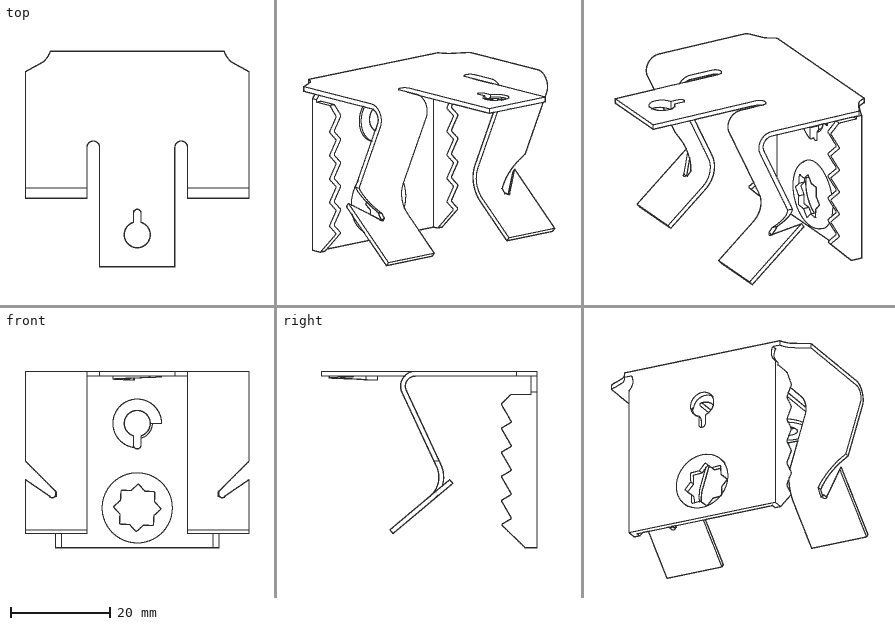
import cadquery as cq
import math


TOTAL_WIDTH = 45.0
TOTAL_DEPTH = 43.42
TOTAL_HEIGHT = 35.54
PLATE_THICKNESS = 1.0
WALL_THICKNESS = 1.25

TONGUE_WIDTH = 15.2
RELIEF_SLOT_WIDTH = 2.5
RELIEF_SLOT_END_Y = -18.1
FOLD_WIDTH = 35.0
CORNER_SIDE_Y = -4.1
CORNER_KINK = (18.95, -2.15)
CORNER_BULGE = 0.12

WALL_WIDTH = 33.0
FLANGE_TOP_Z = -4.66
NECK_DEEPEST = (15.6, -2.6)
NECK_END_Z = -4.15
TOOTH_COUNT = 6
TOOTH_PITCH = 4.85
TOOTH_TIP_Y = -7.25
FIRST_TIP_Z = -6.6
TOOTH_SLOPE = 30.0
TOOTH_ROUNDING = 0.25
FLANGE_TOP_CORNER_Y = -5.3
FLANGE_FOOT_Y = -2.4

BEND_START_Y = -24.5
UPPER_BEND_RADIUS = 2.0
LOWER_BEND_RADIUS = 5.0
LEG_LEAN = 25.0
LEG_LENGTH = 16.48
FOOT_SLOPE = 40.0
FOOT_LENGTH = 10.55
BARB_LENGTH = 5.2
NOTCH_TOP_Z = -18.1
NOTCH_CORNER = (16.3, -24.3)
SLIT_INNER_X = 16.6
SLIT_OUTER_X = 17.6
SLIT_DEPTH = 0.45

HOLE_RADIUS = 2.6
KEY_SLOT_WIDTH = 1.5
KEY_SLOT_REACH = 5.1
PLATE_HOLE_Y = -36.95
WALL_HOLE_Z = -10.5
RAMP_RADIUS = 4.9
RAMP_OVERLAP = 0.3
RAMP_HEIGHT = 0.8
RAMP_END_HEIGHT = 0.1
RAMP_SWEEP = 270.0
RIM_CHAMFER = 0.45

BOSS_Z = -27.5
BOSS_RADIUS = 7.07
BOSS_HEIGHT = 1.8
BOSS_ROUNDING = 1.79
STAR_RADIUS = 4.8
STAR_TILT = 2.5
STAR_ROUNDING = 0.2

HALF_WIDTH = TOTAL_WIDTH / 2
HALF_FOLD = FOLD_WIDTH / 2
HALF_WALL = WALL_WIDTH / 2
ARM_INNER_X = TONGUE_WIDTH / 2 + RELIEF_SLOT_WIDTH


def mirrored_pair(shape):
    return shape.union(shape.mirror("YZ"))


def corner_relief():
    """Cutter for one back corner of the plate: a straight flank and a short hollow."""
    kink_x, kink_y = CORNER_KINK
    chord_mid = ((kink_x + HALF_FOLD) / 2 - CORNER_BULGE, kink_y / 2 - CORNER_BULGE)
    return (
        cq.Workplane("XY", origin=(0, 0, -PLATE_THICKNESS))
        .moveTo(HALF_WIDTH, CORNER_SIDE_Y)
        .lineTo(kink_x, kink_y)
        .threePointArc(chord_mid, (HALF_FOLD, 0))
        .lineTo(HALF_WIDTH, 0)
        .close()
        .extrude(PLATE_THICKNESS)
    )


def top_plate():
    plate = cq.Workplane("XY").box(
        TOTAL_WIDTH, -BEND_START_Y, PLATE_THICKNESS, centered=(True, False, False)
    ).translate((0, BEND_START_Y, -PLATE_THICKNESS))
    tongue = cq.Workplane("XY").box(
        TONGUE_WIDTH, TOTAL_DEPTH, PLATE_THICKNESS, centered=(True, False, False)
    ).translate((0, -TOTAL_DEPTH, -PLATE_THICKNESS))
    slot_radius = RELIEF_SLOT_WIDTH / 2
    slot_length = 2 * (RELIEF_SLOT_END_Y - BEND_START_Y)
    slot = (
        cq.Workplane("XY")
        .center(TONGUE_WIDTH / 2 + slot_radius, BEND_START_Y)
        .slot2D(slot_length, RELIEF_SLOT_WIDTH, 90)
        .extrude(-PLATE_THICKNESS)
    )
    return plate.union(tongue).cut(mirrored_pair(slot)).cut(mirrored_pair(corner_relief()))


def back_wall():
    neck_x, neck_z = NECK_DEEPEST
    half_wall = (
        cq.Workplane("XZ")
        .moveTo(0, 0)
        .lineTo(HALF_FOLD, 0)
        .threePointArc((neck_x, neck_z), (HALF_WALL, NECK_END_Z))
        .lineTo(HALF_WALL, -TOTAL_HEIGHT)
        .lineTo(0, -TOTAL_HEIGHT)
        .close()
        .extrude(WALL_THICKNESS)
    )
    return mirrored_pair(half_wall)


def toothed_flange():
    """Side flange whose front edge is a row of right-angled teeth pointing upwards."""
    slope = math.radians(TOOTH_SLOPE)
    tooth_depth = TOOTH_PITCH / (math.tan(slope) + 1 / math.tan(slope))
    valley_y = TOOTH_TIP_Y + tooth_depth
    outline = [(0, FLANGE_TOP_Z), (FLANGE_TOP_CORNER_Y, FLANGE_TOP_Z)]
    for i in range(TOOTH_COUNT):
        tip_z = FIRST_TIP_Z - i * TOOTH_PITCH
        if i > 0:
            outline.append((valley_y, tip_z + tooth_depth * math.tan(slope)))
        outline.append((TOOTH_TIP_Y, tip_z))
    outline += [(FLANGE_FOOT_Y, -TOTAL_HEIGHT), (0, -TOTAL_HEIGHT)]
    flange = (
        cq.Workplane("YZ", origin=(HALF_WALL - WALL_THICKNESS, 0, 0))
        .polyline(outline)
        .close()
        .extrude(WALL_THICKNESS)
    )
    tooth_zone = cq.selectors.BoxSelector(
        (0, TOOTH_TIP_Y - TOOTH_ROUNDING, FIRST_TIP_Z - TOOTH_COUNT * TOOTH_PITCH),
        (HALF_WIDTH, valley_y + TOOTH_ROUNDING, FIRST_TIP_Z + TOOTH_ROUNDING),
    )
    return flange.edges("|X").edges(tooth_zone).fillet(TOOTH_ROUNDING)


def polar(center, radius, degrees):
    angle = math.radians(degrees)
    return (center[0] + radius * math.cos(angle), center[1] + radius * math.sin(angle))


def spring_arm():
    """One arm: rolled down from the plate, leaning back, then bent forward into a foot."""
    upper_outer = UPPER_BEND_RADIUS + PLATE_THICKNESS
    lower_outer = LOWER_BEND_RADIUS + PLATE_THICKNESS
    leg_normal = 180 + LEG_LEAN
    upper_mid = (90 + leg_normal) / 2
    upper_center = (BEND_START_Y, -upper_outer)
    leg_top = polar(upper_center, upper_outer, leg_normal)
    leg_bottom = polar(leg_top, LEG_LENGTH, leg_normal + 90)
    lower_center = polar(leg_bottom, LOWER_BEND_RADIUS, leg_normal)
    lower_start = LEG_LEAN
    lower_end = FOOT_SLOPE - 90
    lower_mid = (lower_start + lower_end) / 2
    foot_back = polar(lower_center, lower_outer, lower_end)

    bent = (
        cq.Workplane("YZ", origin=(ARM_INNER_X, 0, 0))
        .moveTo(BEND_START_Y, 0)
        .threePointArc(polar(upper_center, upper_outer, upper_mid), leg_top)
        .lineTo(*leg_bottom)
        .threePointArc(
            polar(lower_center, LOWER_BEND_RADIUS, lower_mid),
            polar(lower_center, LOWER_BEND_RADIUS, lower_end),
        )
        .lineTo(*foot_back)
        .threePointArc(
            polar(lower_center, lower_outer, lower_mid),
            polar(lower_center, lower_outer, lower_start),
        )
        .lineTo(*polar(upper_center, UPPER_BEND_RADIUS, leg_normal))
        .threePointArc(
            polar(upper_center, UPPER_BEND_RADIUS, upper_mid), (BEND_START_Y, -PLATE_THICKNESS)
        )
        .close()
        .extrude(HALF_WIDTH - ARM_INNER_X)
    )
    corner_x, corner_z = NOTCH_CORNER
    notch = (
        cq.Workplane("XZ")
        .polyline(
            [
                (HALF_WIDTH, NOTCH_TOP_Z),
                (corner_x, corner_z),
                (corner_x, -TOTAL_HEIGHT),
                (HALF_WIDTH, -TOTAL_HEIGHT),
            ]
        )
        .close()
        .extrude(TOTAL_DEPTH)
    )

    slope = math.radians(FOOT_SLOPE)
    foot_plane = cq.Plane(
        origin=(0, *foot_back), xDir=(1, 0, 0), normal=(0, -math.sin(slope), math.cos(slope))
    )
    slit_mid_x = (SLIT_INNER_X + SLIT_OUTER_X) / 2
    foot = (
        cq.Workplane(foot_plane)
        .moveTo(ARM_INNER_X, 0)
        .lineTo(ARM_INNER_X, -FOOT_LENGTH)
        .lineTo(HALF_WIDTH, -FOOT_LENGTH)
        .lineTo(HALF_WIDTH, BARB_LENGTH)
        .lineTo(SLIT_OUTER_X, 0)
        .threePointArc((slit_mid_x, -SLIT_DEPTH), (SLIT_INNER_X, 0))
        .close()
        .extrude(PLATE_THICKNESS)
    )
    return bent.cut(notch).union(foot)


def thread_ramp(plane):
    """Ramp of steadily falling height around a hole, tallest beside the key slot at local -Y.

    It sinks into the sheet and reaches into the hole by the overlap, so that it joins cleanly.
    """
    drop = RAMP_HEIGHT - RAMP_END_HEIGHT
    pitch = drop * 360 / RAMP_SWEEP
    inner_radius = HOLE_RADIUS - RAMP_OVERLAP

    def helix(radius):
        rising = cq.Wire.makeHelix(pitch, drop, radius)
        return rising.translate(cq.Vector(0, 0, RAMP_END_HEIGHT)).Edges()[0]

    def arc(radius):
        base = cq.Vector(0, 0, -RAMP_OVERLAP)
        return cq.Edge.makeCircle(radius, pnt=base, angle1=0, angle2=RAMP_SWEEP)

    def end_wall(degrees, height):
        inner = polar((0, 0), inner_radius, degrees)
        outer = polar((0, 0), RAMP_RADIUS, degrees)
        corners = [
            (*inner, -RAMP_OVERLAP),
            (*outer, -RAMP_OVERLAP),
            (*outer, height),
            (*inner, height),
        ]
        return cq.Face.makeFromWires(cq.Wire.makePolygon([cq.Vector(*c) for c in corners], close=True))

    faces = [
        cq.Face.makeRuledSurface(helix(inner_radius), helix(RAMP_RADIUS)),
        cq.Face.makeRuledSurface(arc(inner_radius), arc(RAMP_RADIUS)),
        cq.Face.makeRuledSurface(arc(inner_radius), helix(inner_radius)),
        cq.Face.makeRuledSurface(arc(RAMP_RADIUS), helix(RAMP_RADIUS)),
        end_wall(0, RAMP_END_HEIGHT),
        end_wall(RAMP_SWEEP, RAMP_HEIGHT),
    ]
    ramp = cq.Solid.makeSolid(cq.Shell.makeShell(faces)).fix()
    return cq.Workplane(ramp.moved(cq.Location(plane)))


def keyhole(plane, thickness):
    """Round hole with a radial slot towards local -Y, cut from below the sheet to above the ramp."""
    radius = KEY_SLOT_WIDTH / 2
    depth = thickness + RAMP_HEIGHT
    base = cq.Workplane(plane).workplane(offset=-thickness)
    hole = base.circle(HOLE_RADIUS).extrude(depth)
    slot = base.center(0, -KEY_SLOT_REACH / 2).slot2D(KEY_SLOT_REACH, 2 * radius, 90).extrude(depth)
    return hole.union(slot)


def rim_chamfer(plane):
    """Quarter of a conical rim, filling the gap that the ramp leaves around the hole."""
    cone = cq.Solid.makeCone(
        HOLE_RADIUS, HOLE_RADIUS + RIM_CHAMFER, RIM_CHAMFER, pnt=cq.Vector(0, 0, -RIM_CHAMFER),
        angleDegrees=360 - RAMP_SWEEP,
    ).rotate(cq.Vector(0, 0, 0), cq.Vector(0, 0, 1), RAMP_SWEEP)
    return cq.Workplane(cone.moved(cq.Location(plane)))


def add_screw_hole(body, plane, thickness):
    body = body.union(thread_ramp(plane))
    return body.cut(keyhole(plane, thickness)).cut(rim_chamfer(plane))


def add_star_boss(body):
    """Round boss pressed out of the wall, hollow behind, pierced by two crossed squares."""
    face = cq.Workplane("XZ", origin=(0, -WALL_THICKNESS, BOSS_Z))
    boss = face.circle(BOSS_RADIUS).extrude(BOSS_HEIGHT).faces("<Y").edges().fillet(BOSS_ROUNDING)
    hollow = (
        cq.Workplane("XZ", origin=(0, 0, BOSS_Z))
        .circle(BOSS_RADIUS - WALL_THICKNESS)
        .extrude(BOSS_HEIGHT)
        .faces("<Y")
        .edges()
        .fillet(BOSS_ROUNDING - WALL_THICKNESS)
    )
    body = body.union(boss).cut(hollow)
    side = STAR_RADIUS * math.sqrt(2)
    for turn in (0, 45):
        square = (
            face.workplane(offset=-WALL_THICKNESS)
            .transformed(rotate=(0, 0, turn - STAR_TILT))
            .rect(side, side)
            .extrude(WALL_THICKNESS + BOSS_HEIGHT)
            .edges("|Y")
            .fillet(STAR_ROUNDING)
        )
        body = body.cut(square)
    return body


result = top_plate().union(back_wall())
result = result.union(mirrored_pair(toothed_flange()))
result = result.union(mirrored_pair(spring_arm()))
plate_underside = cq.Plane(
    origin=(0, PLATE_HOLE_Y, -PLATE_THICKNESS), xDir=(1, 0, 0), normal=(0, 0, -1)
)
wall_inside = cq.Plane(
    origin=(0, -WALL_THICKNESS, WALL_HOLE_Z), xDir=(1, 0, 0), normal=(0, -1, 0)
)
result = add_screw_hole(result, plate_underside, PLATE_THICKNESS)
result = add_screw_hole(result, wall_inside, WALL_THICKNESS)
result = add_star_boss(result)